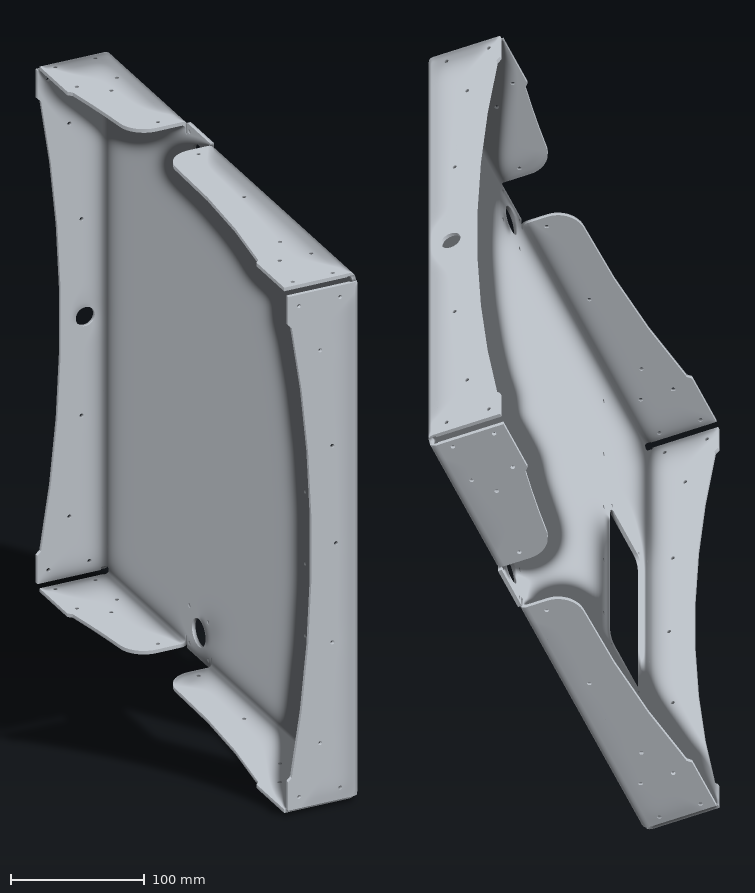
import cadquery as cq
import math


width = 423.5
height = 439.0
flange_depth = 60.0
thickness = 3.0
bend_inner = 3.3
bend_outer = bend_inner + thickness

half_width = width / 2
half_height = height / 2
panel_half_x = half_width - bend_outer
panel_half_z = half_height - bend_outer

end_flange_half = 205.0
side_flange_half = 214.7
corner_relief_dia = 6.0
corner_relief_x = 207.0
corner_relief_depth = bend_outer + 1.0

motor_x = -53.0
motor_z = 198.0
motor_bore = 23.0
motor_screw_half_pitch = 16.0
motor_screw_dia = 3.5
tab_half_width = 19.5
tab_slot = 2.5
tab_slot_depth = 10.0
gap_half_width = tab_half_width + tab_slot
gap_left = motor_x - gap_half_width
gap_right = motor_x + gap_half_width
gap_corner_radius = 21.0

edge_step = 3.0
end_arc_half = 155.5
end_arc_mid_depth = 43.5
side_arc_half = 188.0
side_arc_mid_depth = 40.5

window_x = 167.0
window_width = 60.0
window_height = 150.0
window_radius = 8.5
window_screw_half_x = 26.0
window_screw_half_z = 79.0
window_screw_dia = 2.9

column_x = 124.5
column_pitch = 60.0
column_count = 7
column_hole_dia = 3.3

flange_hole_dia = 3.3
large_flange_hole_dia = 3.5

end_edge_x = 199.0
end_inner_x = 163.0
upper_row = 16.5
lower_row = 50.0
end_flange_holes = [
    (-end_edge_x, upper_row, flange_hole_dia),
    (-end_edge_x, lower_row, flange_hole_dia),
    (-end_inner_x, upper_row, flange_hole_dia),
    (-end_inner_x, lower_row, flange_hole_dia),
    (-146.0, 30.0, flange_hole_dia),
    (-83.5, 22.0, flange_hole_dia),
    (-22.5, 18.5, flange_hole_dia),
    (56.5, 19.8, flange_hole_dia),
    (135.2, 29.0, flange_hole_dia),
    (end_inner_x, upper_row, flange_hole_dia),
    (end_inner_x, 43.0, large_flange_hole_dia),
    (end_edge_x, upper_row, flange_hole_dia),
    (end_edge_x, lower_row, flange_hole_dia),
]

side_edge_z = 205.0
side_flange_holes = [
    (side_edge_z, upper_row),
    (side_edge_z, 51.0),
    (164.2, 33.5),
    (82.0, 23.3),
]
side_center_depth = 20.0
access_hole_dia = 16.0


def bent_strip(outer, half_length):
    """Bend and flange with its outer face at u = outer, extruded along the bend line."""
    tangent = outer - bend_outer
    inner = outer - thickness
    outer_mid = tangent + bend_outer * math.sqrt(0.5)
    inner_mid = tangent + bend_inner * math.sqrt(0.5)
    return (
        cq.Workplane("XY")
        .moveTo(tangent, 0)
        .threePointArc((outer_mid, outer_mid - outer), (outer, -bend_outer))
        .lineTo(outer, -flange_depth)
        .lineTo(inner, -flange_depth)
        .lineTo(inner, -bend_outer)
        .threePointArc((inner_mid, inner_mid - outer), (tangent, -thickness))
        .close()
        .extrude(half_length, both=True)
    )


def edge_cutter(plane, arc_half, mid_depth):
    """Prism that cuts the concave free edge, shoulders included, in both opposite flanges."""
    shoulder = flange_depth - edge_step
    return (
        cq.Workplane(plane)
        .moveTo(-arc_half - edge_step, -flange_depth)
        .lineTo(-arc_half, -shoulder)
        .threePointArc((0, -mid_depth), (arc_half, -shoulder))
        .lineTo(arc_half + edge_step, -flange_depth)
        .close()
        .extrude(height, both=True)
    )


def panel_holes(points, diameter, depth=thickness):
    """Pins at (X, Z) points, reaching from the outer face of the panel to the given depth."""
    return (
        cq.Workplane("XZ")
        .pushPoints(points)
        .circle(diameter / 2)
        .extrude(depth)
    )


def make_panel():
    panel = cq.Workplane("XZ").rect(2 * panel_half_x, 2 * panel_half_z).extrude(thickness)
    for side in (1, -1):
        tab = (
            cq.Workplane("XZ")
            .center(motor_x, side * motor_z)
            .rect(2 * tab_half_width, 2 * (half_height - motor_z))
            .extrude(thickness)
        )
        panel = panel.union(tab)
    return panel


def make_end_flanges():
    """Top and bottom flanges, each split in two by the gap around the motor tab."""
    top = bent_strip(half_height, end_flange_half).rotate((0, 0, 0), (0, 1, 0), -90)
    flanges = top.union(top.mirror("XY"))
    gap = (
        cq.Workplane("XY")
        .moveTo(gap_left, 0)
        .lineTo(gap_left, -flange_depth)
        .lineTo(gap_right, -flange_depth)
        .lineTo(gap_right, 0)
        .close()
        .extrude(height, both=True)
    )
    flanges = flanges.cut(edge_cutter("XY", end_arc_half, end_arc_mid_depth)).cut(gap)
    rounded = cq.selectors.BoxSelector(
        (gap_left - tab_slot, -flange_depth, -height),
        (gap_right + tab_slot, -end_arc_mid_depth / 2, height),
    )
    flanges = flanges.edges("|Z").edges(rounded).fillet(gap_corner_radius)
    for x, depth, diameter in end_flange_holes:
        pin = cq.Workplane("XY").center(x, -depth).circle(diameter / 2).extrude(height, both=True)
        flanges = flanges.cut(pin)
    return flanges


def make_side_flanges():
    """Left and right flanges; the left one has an access hole facing a screw hole in the right one."""
    right = bent_strip(half_width, side_flange_half)
    flanges = right.union(right.mirror("YZ"))
    flanges = flanges.cut(edge_cutter("ZY", side_arc_half, side_arc_mid_depth))
    hole_centers = [(side * z, -depth) for z, depth in side_flange_holes for side in (1, -1)]
    hole_centers.append((0, -side_center_depth))
    pins = (
        cq.Workplane("ZY")
        .pushPoints(hole_centers)
        .circle(flange_hole_dia / 2)
        .extrude(width, both=True)
    )
    access = cq.Workplane("ZY").center(0, -side_center_depth).circle(access_hole_dia / 2).extrude(width)
    return flanges.cut(pins).cut(access)


def cut_corner_reliefs(body):
    corners = [(sx * corner_relief_x, sz * side_flange_half) for sx in (1, -1) for sz in (1, -1)]
    return body.cut(panel_holes(corners, corner_relief_dia, corner_relief_depth))


def cut_motor_mounts(body):
    for side in (1, -1):
        z = side * motor_z
        screws = [
            (motor_x + sx * motor_screw_half_pitch, z + sz * motor_screw_half_pitch)
            for sx in (1, -1)
            for sz in (1, -1)
        ]
        body = body.cut(panel_holes([(motor_x, z)], motor_bore))
        body = body.cut(panel_holes(screws, motor_screw_dia))
        for slot_side in (1, -1):
            slot_x = motor_x + slot_side * (tab_half_width + tab_slot / 2)
            slot = (
                cq.Workplane("XZ")
                .center(slot_x, side * half_height)
                .rect(tab_slot, 2 * tab_slot_depth)
                .extrude(thickness)
            )
            body = body.cut(slot)
    return body


def cut_window(body):
    window = (
        cq.Workplane("XZ")
        .center(window_x, 0)
        .rect(window_width, window_height)
        .extrude(thickness)
        .edges("|Y")
        .fillet(window_radius)
    )
    screws = [
        (window_x + sx * window_screw_half_x, sz * window_screw_half_z)
        for sx in (1, -1)
        for sz in (1, -1)
    ]
    return body.cut(window).cut(panel_holes(screws, window_screw_dia))


def cut_hole_column(body):
    first = -(column_count - 1) / 2
    points = [(column_x, (first + i) * column_pitch) for i in range(column_count)]
    return body.cut(panel_holes(points, column_hole_dia))


body = make_panel().union(make_end_flanges()).union(make_side_flanges())
body = cut_corner_reliefs(body)
body = cut_motor_mounts(body)
body = cut_window(body)
result = cut_hole_column(body)